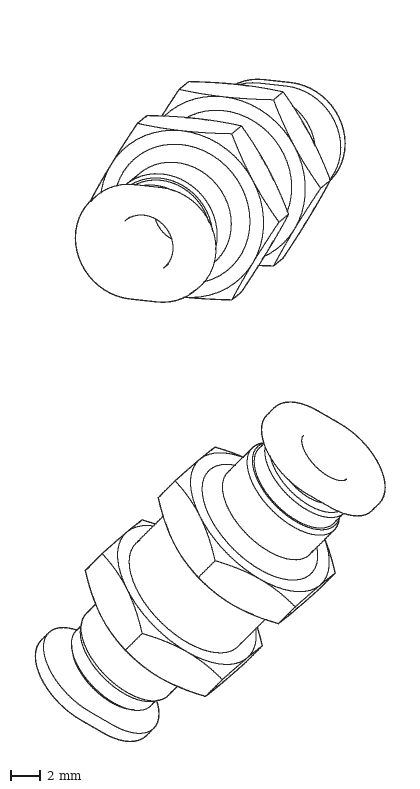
import cadquery as cq
import math

overall_length = 27.0
half_length = overall_length / 2

flange_width = 10.0
flange_height = 8.0
flange_thickness = 1.1
flange_fillet = 0.25
neck_radius = 2.6
neck_length = 1.15
neck_fillet = 0.08
bore_radius = 2.1
bore_mouth_fillet = 0.5
bore_depth = 8.0

collar_radius = 3.65
collar_length = 1.45
collar_chamfer = 0.25
sleeve_radius = 4.0
sleeve_length = 3.15
sleeve_chamfer_length = 0.35
sleeve_chamfer_depth = 0.2
barrel_radius = 5.0
cone_length = barrel_radius - sleeve_radius

nut_sides = 6
nut_across_flats = 12.0
nut_width = 3.0
nut_chamfer_angle = 30.0

flange_inner = half_length - flange_thickness
collar_end = flange_inner - neck_length
sleeve_end = collar_end - collar_length
cone_start = sleeve_end - sleeve_length
nut_outer = cone_start - cone_length
nut_inner = nut_outer - nut_width


def cross_section(start):
    """Workplane at y = start; negative extrusions run towards +Y."""
    return cq.Workplane("XZ", origin=(0, start, 0))


def revolve_about_y(profile):
    """Full turn of a closed XY profile about the part's axis."""
    return profile.revolve(360, (0, 0, 0), (0, 1, 0))


def make_stepped_end():
    """Revolved cone, sleeve, collar and neck of the +Y end."""
    profile = (
        cq.Workplane("XY")
        .moveTo(0, nut_outer)
        .lineTo(barrel_radius, nut_outer)
        .lineTo(sleeve_radius, cone_start)
        .lineTo(sleeve_radius, sleeve_end - sleeve_chamfer_length)
        .lineTo(sleeve_radius - sleeve_chamfer_depth, sleeve_end)
        .lineTo(collar_radius, sleeve_end)
        .lineTo(collar_radius, collar_end - collar_chamfer)
        .lineTo(collar_radius - collar_chamfer, collar_end)
        .lineTo(neck_radius, collar_end)
        .lineTo(neck_radius, flange_inner - neck_fillet)
        .radiusArc((neck_radius + neck_fillet, flange_inner), neck_fillet)
        .lineTo(0, flange_inner)
        .close()
    )
    return revolve_about_y(profile)


def make_flange():
    """Obround flange at the +Y end with its outer rim rounded."""
    return (
        cross_section(flange_inner)
        .slot2D(flange_width, flange_height)
        .extrude(-flange_thickness)
        .faces(">Y")
        .edges()
        .fillet(flange_fillet)
    )


def make_nut():
    """Hexagon nut of the +Y half, corners across X, both faces chamfered."""
    flat_radius = nut_across_flats / 2
    corner_radius = flat_radius / math.cos(math.pi / nut_sides)
    chamfer_length = (corner_radius - flat_radius) * math.tan(math.radians(nut_chamfer_angle))
    hexagon = cross_section(nut_inner).polygon(nut_sides, 2 * corner_radius).extrude(-nut_width)
    envelope_profile = (
        cq.Workplane("XY")
        .moveTo(0, nut_inner)
        .lineTo(flat_radius, nut_inner)
        .lineTo(corner_radius, nut_inner + chamfer_length)
        .lineTo(corner_radius, nut_outer - chamfer_length)
        .lineTo(flat_radius, nut_outer)
        .lineTo(0, nut_outer)
        .close()
    )
    return hexagon.intersect(revolve_about_y(envelope_profile))


def make_bore():
    """Blind tube bore from the +Y end with a rounded mouth."""
    bore_floor = half_length - bore_depth
    profile = (
        cq.Workplane("XY")
        .moveTo(0, bore_floor)
        .lineTo(bore_radius, bore_floor)
        .lineTo(bore_radius, half_length - bore_mouth_fillet)
        .radiusArc((bore_radius + bore_mouth_fillet, half_length), bore_mouth_fillet)
        .lineTo(0, half_length)
        .close()
    )
    return revolve_about_y(profile)


barrel = cross_section(-nut_outer).circle(barrel_radius).extrude(-2 * nut_outer)
end = make_stepped_end().union(make_flange()).union(make_nut())
bore = make_bore()
result = barrel.union(end).union(end.mirror("XZ")).cut(bore).cut(bore.mirror("XZ"))